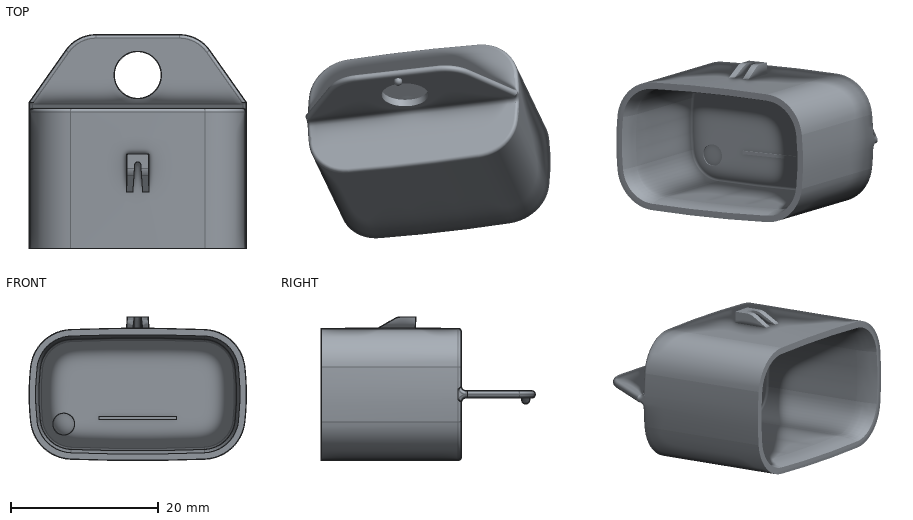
import cadquery as cq
import math

SHELL_WIDTH = 29.44
SHELL_HEIGHT = 17.94
SHELL_DEPTH = 19.0
OVERALL_LENGTH = 29.0
OVERALL_RISE = 19.47

TOP_BOW_RADIUS = 225.0
SIDE_BOW_RADIUS = 34.0
CORNER_RADIUS = 5.7

MOUTH_WALL = 0.88
BORE_WALL = 1.33
FLARE_LENGTH = 3.0
FLOOR_THICKNESS = BORE_WALL
CAVITY_DEPTH = SHELL_DEPTH - FLOOR_THICKNESS
FLOOR_FILLET = 0.3

TAB_THICKNESS = 1.0
TAB_TIP_WIDTH = 11.3
TAB_TIP_RADIUS = 5.0
TAB_SHOULDER = 0.8
TAB_HOLE_DIAMETER = 6.35
TAB_HOLE_Y = SHELL_DEPTH + 4.53
TAB_ROOT_FILLET = 0.6
EDGE_FILLET = 0.48

NUB_RADIUS = 0.55
NUB_DROP = 0.8
NUB_Y = SHELL_DEPTH + 8.7

LATCH_TOP_Z = OVERALL_RISE - SHELL_HEIGHT / 2
LATCH_ROOT_Z = SHELL_HEIGHT / 2 - MOUTH_WALL / 2
LATCH_BASE_Z = SHELL_HEIGHT / 2
LATCH_TOP_WIDTH = 2.86
LATCH_BASE_WIDTH = 3.04
LATCH_FRONT_Y = 7.7
LATCH_BACK_Y = 12.75
LATCH_BACK_OVERHANG = 0.1
LATCH_RAMP_ANGLE = 30.0
LATCH_CREST_RADIUS = 2.0
SLOT_END_Y = 11.75
SLOT_END_RADIUS = 0.42
SLOT_FRONT_WIDTH = 1.32

MARK_HEIGHT = 0.2
BAR_LENGTH = 10.45
BAR_WIDTH = 0.45
BAR_Z = -3.2
DISC_DIAMETER = 2.95
DISC_X = -10.02
DISC_Z = -4.02


def shell_outline(y, inset):
    """Closed outline at depth y: four bowed sides joined by tangent corner arcs."""
    half_width = SHELL_WIDTH / 2 - inset
    half_height = SHELL_HEIGHT / 2 - inset
    top_radius = TOP_BOW_RADIUS - inset
    side_radius = SIDE_BOW_RADIUS - inset
    corner_radius = CORNER_RADIUS - inset

    top_z = half_height - top_radius
    side_x = half_width - side_radius

    reach_top = top_radius - corner_radius
    reach_side = side_radius - corner_radius
    spacing = math.hypot(side_x, top_z)
    along = (reach_top**2 - reach_side**2 + spacing**2) / (2 * spacing)
    across = math.sqrt(reach_top**2 - along**2)
    step_x = side_x / spacing
    step_z = -top_z / spacing
    corner_x = along * step_x + across * step_z
    corner_z = top_z + along * step_z - across * step_x

    top_angle = math.atan2(corner_z - top_z, corner_x)
    side_angle = math.atan2(corner_z, corner_x - side_x)
    middle_angle = (top_angle + side_angle) / 2

    def on_corner(angle):
        return (
            corner_x + corner_radius * math.cos(angle),
            corner_z + corner_radius * math.sin(angle),
        )

    tx, tz = on_corner(top_angle)
    mx, mz = on_corner(middle_angle)
    sx, sz = on_corner(side_angle)

    return (
        cq.Workplane("XZ", origin=(0, y, 0))
        .moveTo(-tx, tz)
        .threePointArc((0, half_height), (tx, tz))
        .threePointArc((mx, mz), (sx, sz))
        .threePointArc((half_width, 0), (sx, -sz))
        .threePointArc((mx, -mz), (tx, -tz))
        .threePointArc((0, -half_height), (-tx, -tz))
        .threePointArc((-mx, -mz), (-sx, -sz))
        .threePointArc((-half_width, 0), (-sx, sz))
        .threePointArc((-mx, mz), (-tx, tz))
        .close()
    )


def make_tab():
    """Tab plate, from inside the shell's back wall to its rounded tip."""
    half_width = SHELL_WIDTH / 2
    root_y = SHELL_DEPTH - EDGE_FILLET
    shoulder_y = SHELL_DEPTH + TAB_SHOULDER
    arc_x = TAB_TIP_WIDTH / 2
    arc_y = OVERALL_LENGTH - TAB_TIP_RADIUS

    distance = math.hypot(half_width - arc_x, shoulder_y - arc_y)
    bearing = math.atan2(shoulder_y - arc_y, half_width - arc_x)
    end_angle = bearing + math.acos(TAB_TIP_RADIUS / distance)
    middle_angle = (end_angle + math.pi / 2) / 2

    def on_tip(angle, side):
        x = arc_x + TAB_TIP_RADIUS * math.cos(angle)
        return (side * x, arc_y + TAB_TIP_RADIUS * math.sin(angle))

    return (
        cq.Workplane("XY", origin=(0, 0, -TAB_THICKNESS / 2))
        .moveTo(-half_width, root_y)
        .lineTo(half_width, root_y)
        .lineTo(half_width, shoulder_y)
        .lineTo(*on_tip(end_angle, 1))
        .threePointArc(on_tip(middle_angle, 1), (arc_x, OVERALL_LENGTH))
        .lineTo(-arc_x, OVERALL_LENGTH)
        .threePointArc(on_tip(middle_angle, -1), on_tip(end_angle, -1))
        .lineTo(-half_width, shoulder_y)
        .close()
        .extrude(TAB_THICKNESS)
        .faces("|Z")
        .edges("not <Y")
        .fillet(EDGE_FILLET)
    )


def make_root_flare():
    """Concave fillets, above and below, where the tab meets the back wall."""
    half_tab = TAB_THICKNESS / 2
    start_y = SHELL_DEPTH - EDGE_FILLET
    arc_y = SHELL_DEPTH + TAB_ROOT_FILLET
    end_y = SHELL_DEPTH + TAB_SHOULDER
    flare_z = half_tab + TAB_ROOT_FILLET
    bulge = TAB_ROOT_FILLET * (1 - math.sqrt(0.5))
    return (
        cq.Workplane("YZ")
        .moveTo(start_y, -flare_z)
        .lineTo(SHELL_DEPTH, -flare_z)
        .threePointArc((SHELL_DEPTH + bulge, -half_tab - bulge), (arc_y, -half_tab))
        .lineTo(end_y, -half_tab)
        .lineTo(end_y, half_tab)
        .lineTo(arc_y, half_tab)
        .threePointArc((SHELL_DEPTH + bulge, half_tab + bulge), (SHELL_DEPTH, flare_z))
        .lineTo(start_y, flare_z)
        .close()
        .extrude(SHELL_WIDTH / 2, both=True)
        .faces("<X or >X")
        .edges("not |Z")
        .fillet(EDGE_FILLET)
    )


def make_nub():
    """Round-ended nub hanging from the tab between its hole and its tip."""
    centre_z = -TAB_THICKNESS / 2 - NUB_DROP + NUB_RADIUS
    return (
        cq.Workplane("XY", origin=(0, NUB_Y, centre_z))
        .circle(NUB_RADIUS)
        .extrude(NUB_DROP - NUB_RADIUS + TAB_THICKNESS / 2)
        .union(cq.Workplane("XY", origin=(0, NUB_Y, centre_z)).sphere(NUB_RADIUS))
    )


def make_tab_hole():
    """Vertical through hole in the tab."""
    return (
        cq.Workplane("XY", origin=(0, TAB_HOLE_Y, -TAB_THICKNESS))
        .circle(TAB_HOLE_DIAMETER / 2)
        .extrude(2 * TAB_THICKNESS)
    )


def make_cavity():
    """Bore with a rounded floor edge and a mouth flared by a large tangent radius."""
    flare_depth = BORE_WALL - MOUTH_WALL
    flare_radius = (FLARE_LENGTH**2 + flare_depth**2) / (2 * flare_depth)
    start_y = FLARE_LENGTH - flare_radius
    block_size = SHELL_WIDTH + 2 * flare_radius

    block = (
        cq.Workplane("XZ", origin=(0, start_y, 0))
        .rect(block_size, block_size)
        .extrude(start_y - CAVITY_DEPTH)
    )
    bore = shell_outline(start_y, BORE_WALL).extrude(start_y - CAVITY_DEPTH)
    collar = block.cut(bore).faces("<Y").edges("not (|X or |Z)").fillet(flare_radius)
    mouth = cq.Workplane("XZ").rect(SHELL_WIDTH, SHELL_HEIGHT).extrude(-FLARE_LENGTH).cut(collar)

    return (
        shell_outline(0, BORE_WALL)
        .extrude(-CAVITY_DEPTH)
        .faces(">Y")
        .edges()
        .fillet(FLOOR_FILLET)
        .union(mouth)
    )


def make_latch():
    """Wedge latch with a front ramp, drafted sides and a flared slot open to the front."""
    ramp = math.radians(LATCH_RAMP_ANGLE)
    crest_y = LATCH_FRONT_Y + (LATCH_TOP_Z - LATCH_BASE_Z) / math.tan(ramp)
    crest_setback = LATCH_CREST_RADIUS * math.tan(ramp / 2)
    crest_centre = (crest_y + crest_setback, LATCH_TOP_Z - LATCH_CREST_RADIUS)
    crest_middle = (
        crest_centre[0] - LATCH_CREST_RADIUS * math.sin(ramp / 2),
        crest_centre[1] + LATCH_CREST_RADIUS * math.cos(ramp / 2),
    )
    crest_start = (
        crest_y - crest_setback * math.cos(ramp),
        LATCH_TOP_Z - crest_setback * math.sin(ramp),
    )
    wedge = (
        cq.Workplane("YZ")
        .moveTo(LATCH_FRONT_Y, LATCH_ROOT_Z)
        .lineTo(LATCH_FRONT_Y, LATCH_BASE_Z)
        .lineTo(*crest_start)
        .threePointArc(crest_middle, (crest_centre[0], LATCH_TOP_Z))
        .lineTo(LATCH_BACK_Y + LATCH_BACK_OVERHANG, LATCH_TOP_Z)
        .lineTo(LATCH_BACK_Y, LATCH_BASE_Z)
        .lineTo(LATCH_BACK_Y, LATCH_ROOT_Z)
        .close()
        .extrude(LATCH_BASE_WIDTH, both=True)
    )
    sides = (
        cq.Workplane("XZ")
        .moveTo(-LATCH_BASE_WIDTH / 2, LATCH_ROOT_Z)
        .lineTo(-LATCH_BASE_WIDTH / 2, LATCH_BASE_Z)
        .lineTo(-LATCH_TOP_WIDTH / 2, LATCH_TOP_Z)
        .lineTo(LATCH_TOP_WIDTH / 2, LATCH_TOP_Z)
        .lineTo(LATCH_BASE_WIDTH / 2, LATCH_BASE_Z)
        .lineTo(LATCH_BASE_WIDTH / 2, LATCH_ROOT_Z)
        .close()
        .extrude(-SHELL_DEPTH)
    )
    arc_y = SLOT_END_Y - SLOT_END_RADIUS
    slot = (
        cq.Workplane("XY", origin=(0, 0, LATCH_ROOT_Z))
        .moveTo(-SLOT_FRONT_WIDTH / 2, LATCH_FRONT_Y)
        .lineTo(-SLOT_END_RADIUS, arc_y)
        .threePointArc((0, SLOT_END_Y), (SLOT_END_RADIUS, arc_y))
        .lineTo(SLOT_FRONT_WIDTH / 2, LATCH_FRONT_Y)
        .close()
        .extrude(LATCH_TOP_Z - LATCH_ROOT_Z)
    )
    return wedge.intersect(sides).cut(slot)


def make_floor_bar():
    """Thin raised bar on the cavity floor."""
    return (
        cq.Workplane("XZ", origin=(0, CAVITY_DEPTH, BAR_Z))
        .rect(BAR_LENGTH, BAR_WIDTH)
        .extrude(MARK_HEIGHT)
    )


def make_floor_disc():
    """Shallow round recess in the cavity floor."""
    return (
        cq.Workplane("XZ", origin=(DISC_X, CAVITY_DEPTH, DISC_Z))
        .circle(DISC_DIAMETER / 2)
        .extrude(-MARK_HEIGHT)
    )


def make_shell():
    """Solid shell with a rounded back rim."""
    return shell_outline(SHELL_DEPTH, 0).extrude(SHELL_DEPTH).faces(">Y").edges().fillet(EDGE_FILLET)


tab = make_tab().union(make_root_flare()).union(make_nub()).cut(make_tab_hole())
result = (
    make_shell()
    .union(tab)
    .union(make_latch())
    .cut(make_cavity())
    .cut(make_floor_disc())
    .union(make_floor_bar())
)